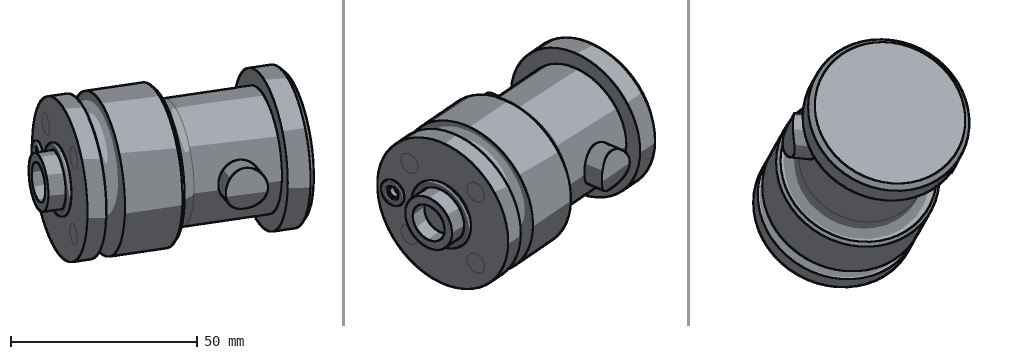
import cadquery as cq


overall_length = 71.0
front_face_y = 6.0
flange_thickness = 7.95
flange_front_y = overall_length - flange_thickness
groove_center_y = 14.05
shoulder_y = 34.0
pin_center_y = overall_length - 20.0

body_radius = 22.5
flange_radius = 22.2
neck_radius = 17.5
flange_chamfer = 1.5
shoulder_chamfer = 1.0
groove_radius = 2.6
shoulder_land_radius = body_radius - shoulder_chamfer
neck_fillet = shoulder_land_radius - neck_radius

pin_diameter = 12.0
pin_radius = pin_diameter / 2
pin_length = 47.0
pin_end_radius = pin_diameter

hub_radius = 8.0
hub_bore_radius = 5.5
hub_bore_depth = 5.0
collar_radius = 10.1
collar_clearance = 0.1
collar_height = 1.35

port_x = -16.75
port_radius = 3.9
port_height = 1.0
port_inner_radius = 2.05
port_hole_radius = 1.5
port_hole_depth = 2.0

plug_radius = 3.0
plug_offset = 11.35
plug_depth = 2.85


def cylinder(radius, y_start, length, x=0.0, z=0.0):
    """Cylinder along +Y starting at y_start."""
    axis_start = cq.Vector(x, y_start, z)
    return cq.Workplane(cq.Solid.makeCylinder(radius, length, axis_start, cq.Vector(0, 1, 0)))


def ring(outer_radius, inner_radius, height, x=0.0):
    """Raised ring on the front face with half-round inner and outer sides."""
    rounding = height / 2
    inner_flat_radius = inner_radius + rounding
    outer_flat_radius = outer_radius - rounding
    top_y = front_face_y - height
    middle_y = front_face_y - rounding
    profile = (
        cq.Workplane("XY")
        .moveTo(inner_flat_radius, front_face_y)
        .threePointArc((inner_radius, middle_y), (inner_flat_radius, top_y))
        .lineTo(outer_flat_radius, top_y)
        .threePointArc((outer_radius, middle_y), (outer_flat_radius, front_face_y))
        .close()
    )
    return profile.revolve(360, (0, 0, 0), (0, 1, 0)).translate((x, 0, 0))


def make_body():
    """Front drum with round groove, shoulder, filleted neck and rear flange."""
    profile = (
        cq.Workplane("XY")
        .moveTo(0, front_face_y)
        .lineTo(body_radius, front_face_y)
        .lineTo(body_radius, groove_center_y - groove_radius)
        .threePointArc(
            (body_radius - groove_radius, groove_center_y),
            (body_radius, groove_center_y + groove_radius),
        )
        .lineTo(body_radius, shoulder_y - shoulder_chamfer)
        .lineTo(shoulder_land_radius, shoulder_y)
        .radiusArc((neck_radius, shoulder_y + neck_fillet), neck_fillet)
        .lineTo(neck_radius, flange_front_y)
        .lineTo(flange_radius, flange_front_y)
        .lineTo(flange_radius, overall_length - flange_chamfer)
        .lineTo(flange_radius - flange_chamfer, overall_length)
        .lineTo(0, overall_length)
        .close()
    )
    return profile.revolve(360, (0, 0, 0), (0, 1, 0))


def make_cross_pin():
    """Round pin along X whose two ends are rounded about axes parallel to Y."""
    half_length = pin_length / 2
    pin = (
        cq.Workplane("YZ", origin=(-half_length, pin_center_y, 0))
        .circle(pin_radius)
        .extrude(pin_length)
    )
    end_axis_x = half_length - pin_end_radius
    y_start = pin_center_y - pin_radius
    end_shape = cq.Workplane("XY").box(2 * end_axis_x, pin_diameter, 2 * pin_end_radius)
    end_shape = end_shape.translate((0, pin_center_y, 0))
    for side in (-1, 1):
        end_shape = end_shape.union(
            cylinder(pin_end_radius, y_start, pin_diameter, side * end_axis_x)
        )
    return pin.intersect(end_shape)


def add_hub(part):
    """Bored connector hub with a rounded collar at its foot."""
    hub = cylinder(hub_radius, 0, front_face_y)
    collar = ring(collar_radius, hub_radius + collar_clearance, collar_height)
    bore = cylinder(hub_bore_radius, 0, hub_bore_depth)
    return part.union(hub).union(collar).cut(bore)


def add_port(part):
    """Small rounded ring on the front face around a blind hole."""
    rim = ring(port_radius, port_inner_radius, port_height, port_x)
    hole = cylinder(port_hole_radius, front_face_y, port_hole_depth, port_x)
    return part.union(rim).cut(hole)


def add_flush_plugs(part):
    """Four plugs level with the front face, leaving only their circular seams."""
    for x in (-plug_offset, plug_offset):
        for z in (-plug_offset, plug_offset):
            plug = cylinder(plug_radius, front_face_y, plug_depth, x, z)
            part = part.cut(plug, clean=False).union(plug, clean=False)
    return part


result = make_body().union(make_cross_pin())
result = add_hub(result)
result = add_port(result)
result = add_flush_plugs(result)